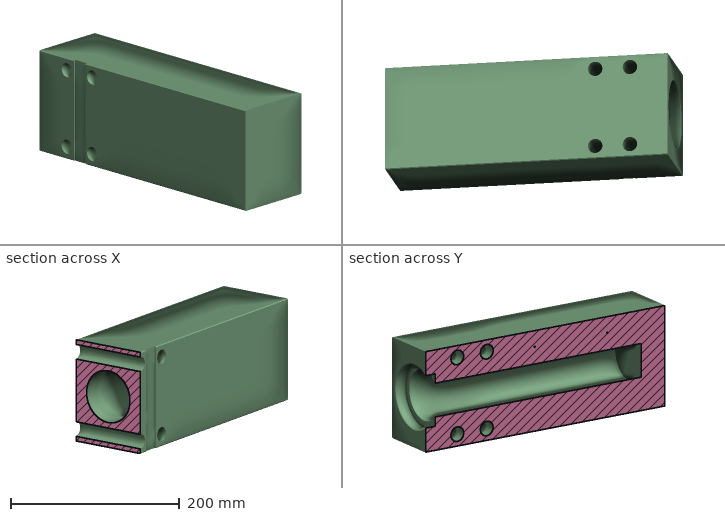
import cadquery as cq

length = 341.0
width = 95.0
height = 125.0
edge_chamfer = 1.0

bore_diameter = 63.0
bore_end_wall = 34.0
seat_diameter = 80.0
seat_depth = 14.0
mouth_chamfer = 0.75

groove_centre = 66.5
groove_width = 19.5
groove_depth = 2.0

hole_diameter = 17.5
hole_spacing_x = 42.0
hole_spacing_z = 95.0


def make_block():
    block = cq.Workplane("XY").box(length, width, height, centered=(False, True, True))
    return block.edges("|X").chamfer(edge_chamfer)


def cut_bore(body):
    mouth = cq.Workplane("YZ")
    bore = mouth.circle(bore_diameter / 2).extrude(length - bore_end_wall)
    seat = mouth.circle(seat_diameter / 2).extrude(seat_depth)
    flare = (
        mouth.circle(seat_diameter / 2 + mouth_chamfer)
        .workplane(offset=mouth_chamfer)
        .circle(seat_diameter / 2)
        .loft()
    )
    return body.cut(bore).cut(seat).cut(flare)


def cut_groove(body):
    groove = (
        cq.Workplane("XY")
        .box(groove_width, groove_depth, height, centered=(True, False, True))
        .translate((groove_centre, -width / 2, 0))
    )
    return body.cut(groove)


def cut_mounting_holes(body):
    holes = (
        cq.Workplane("XZ", origin=(groove_centre, 0, 0))
        .rarray(hole_spacing_x, hole_spacing_z, 2, 2)
        .circle(hole_diameter / 2)
        .extrude(width, both=True)
    )
    return body.cut(holes)


result = cut_mounting_holes(cut_groove(cut_bore(make_block())))